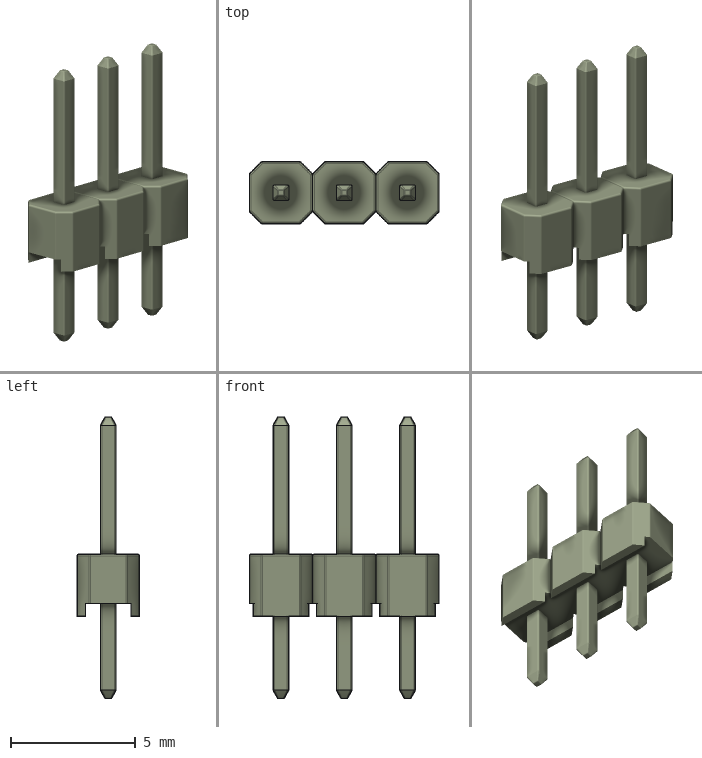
import cadquery as cq

PIN_COUNT = 3
ROW_LENGTH = 7.62
PITCH = ROW_LENGTH / PIN_COUNT

PIN_LENGTH = 11.3
PIN_WIDTH = 0.63
PIN_EDGE_RADIUS = 0.07
TIP_LENGTH = 0.34
TIP_WIDTH = 0.25
TIP_CORNER_RADIUS = 0.03
TIP_END_RADIUS = 0.05
SHAFT_LENGTH = PIN_LENGTH - 2 * TIP_LENGTH

HOUSING_DEPTH = 2.5
HOUSING_HEIGHT = 2.5
HOUSING_BOTTOM = 3.3
CORNER_CUT = 0.5
HOUSING_EDGE_RADIUS = 0.08

SLOT_WIDTH = 1.81
SLOT_HEIGHT = 0.51


def rounded_square(width, radius):
    """Square outline centred on the pin axis, with rounded corners."""
    return cq.Sketch().rect(width, width).vertices().fillet(radius)


def make_tip():
    """Blunt pyramid rising from Z = 0, as wide as the shaft at its base and rounded at its end."""
    base = rounded_square(PIN_WIDTH, PIN_EDGE_RADIUS)
    end = rounded_square(TIP_WIDTH, TIP_CORNER_RADIUS)
    raised_end = end.moved(cq.Location(cq.Vector(0, 0, TIP_LENGTH)))
    pyramid = cq.Workplane("XY").placeSketch(base, raised_end).loft()
    return pyramid.faces(">Z").edges().fillet(TIP_END_RADIUS)


def make_pin():
    """Square pin with rounded edges, pointed at both ends."""
    shaft = (
        cq.Workplane("XY")
        .workplane(offset=TIP_LENGTH)
        .rect(PIN_WIDTH, PIN_WIDTH)
        .extrude(SHAFT_LENGTH)
        .edges("|Z")
        .fillet(PIN_EDGE_RADIUS)
    )
    upper_tip = make_tip().translate((0, 0, TIP_LENGTH + SHAFT_LENGTH))
    lower_tip = make_tip().mirror("XY").translate((0, 0, TIP_LENGTH))
    return shaft.union(upper_tip).union(lower_tip)


def make_housing(pin):
    """Octagonal block with rounded edges, a slot underneath and a fitting hole for the pin."""
    block = (
        cq.Workplane("XY")
        .workplane(offset=HOUSING_BOTTOM)
        .rect(PITCH, HOUSING_DEPTH)
        .extrude(HOUSING_HEIGHT)
        .edges("|Z")
        .chamfer(CORNER_CUT)
        .edges("|Z or >Z")
        .fillet(HOUSING_EDGE_RADIUS)
    )
    slot = (
        cq.Workplane("XY")
        .workplane(offset=HOUSING_BOTTOM)
        .rect(PITCH, SLOT_WIDTH)
        .extrude(SLOT_HEIGHT)
    )
    return block.cut(slot).cut(pin)


pin = make_pin()
housing = make_housing(pin)

bodies = []
for index in range(PIN_COUNT):
    offset = ((index - (PIN_COUNT - 1) / 2) * PITCH, 0, 0)
    bodies.append(pin.translate(offset).val())
    bodies.append(housing.translate(offset).val())

result = cq.Compound.makeCompound(bodies)